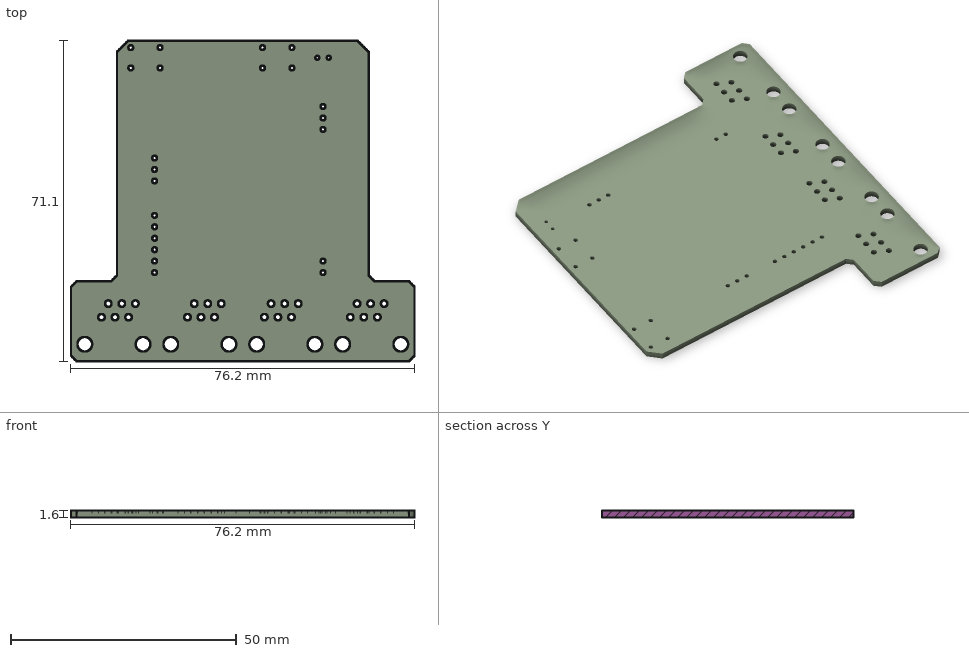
import cadquery as cq

BOARD_WIDTH = 76.2
BOARD_HEIGHT = 71.12
BOARD_THICKNESS = 1.6
BODY_WIDTH = 55.88
BASE_HEIGHT = 17.78
SMALL_CHAMFER = 1.27
TOP_CHAMFER = 2.54

PEG_DIAMETER = 3.2
JACK_PIN_DIAMETER = 1.4
PIN_DIAMETER = 1.02
LED_PIN_DIAMETER = 0.81

JACK_PITCH = 19.05
JACK_COUNT = 4
PEG_SPACING = 12.9
PEG_Y = 3.81
JACK_ROW_PINS = 3
JACK_PIN_PITCH = 3.0
JACK_ROW_STAGGER = JACK_PIN_PITCH / 2
JACK_ROW_SPACING = 3.0
PEG_TO_PIN_ROW = 6.0
JACK_LOWER_ROW_Y = PEG_Y + PEG_TO_PIN_ROW
JACK_UPPER_ROW_Y = JACK_LOWER_ROW_Y + JACK_ROW_SPACING
JACK_PIN_SHIFT = 1.0

HEADER_PITCH = 2.54
LEFT_HEADER_X = 18.542
RIGHT_HEADER_X = 55.88
LOWER_HEADER_Y = 19.685
LEFT_LOWER_PINS = 6
RIGHT_LOWER_PINS = 2
LEFT_UPPER_HEADER_Y = 40.005
RIGHT_UPPER_HEADER_Y = 51.435
UPPER_HEADER_PINS = 3

TOP_PARTS_Y = 67.31
BUTTON_CENTERS_X = (16.51, 45.72)
BUTTON_PIN_SPAN_X = 6.5
BUTTON_PIN_SPAN_Y = 4.5
LED_X = RIGHT_HEADER_X
LED_PIN_SPACING = HEADER_PITCH

CENTER_X = BOARD_WIDTH / 2


def board_outline():
    """Chamfered T outline: the right half and its mirror image."""
    edge = BOARD_WIDTH / 2
    body_edge = BODY_WIDTH / 2
    right_half = [
        (edge - SMALL_CHAMFER, 0),
        (edge, SMALL_CHAMFER),
        (edge, BASE_HEIGHT - SMALL_CHAMFER),
        (edge - SMALL_CHAMFER, BASE_HEIGHT),
        (body_edge + SMALL_CHAMFER, BASE_HEIGHT),
        (body_edge, BASE_HEIGHT + SMALL_CHAMFER),
        (body_edge, BOARD_HEIGHT - TOP_CHAMFER),
        (body_edge - TOP_CHAMFER, BOARD_HEIGHT),
    ]
    left_half = [(-x, y) for x, y in reversed(right_half)]
    return [(CENTER_X + x, y) for x, y in right_half + left_half]


def centered_row(center_x, y, count, pitch):
    """Points of a row along X, centred on center_x."""
    start_x = center_x - pitch * (count - 1) / 2
    return [(start_x + i * pitch, y) for i in range(count)]


def header_column(x, first_y, count):
    """Points of a pin header that runs along Y."""
    return [(x, first_y + i * HEADER_PITCH) for i in range(count)]


def jack_centers():
    """X positions midway between the two pegs of each jack."""
    return [x for x, _ in centered_row(CENTER_X, PEG_Y, JACK_COUNT, JACK_PITCH)]


def peg_points():
    """Two locating pegs per jack."""
    points = []
    for x in jack_centers():
        points += centered_row(x, PEG_Y, 2, PEG_SPACING)
    return points


def jack_pin_points():
    """Two staggered pin rows per jack, the upper row offset toward +X."""
    points = []
    for x in jack_centers():
        shift = JACK_PIN_SHIFT if x < CENTER_X else -JACK_PIN_SHIFT
        group_x = x + shift
        half_stagger = JACK_ROW_STAGGER / 2
        points += centered_row(group_x - half_stagger, JACK_LOWER_ROW_Y, JACK_ROW_PINS, JACK_PIN_PITCH)
        points += centered_row(group_x + half_stagger, JACK_UPPER_ROW_Y, JACK_ROW_PINS, JACK_PIN_PITCH)
    return points


def header_points():
    """Pin headers along the left and right sides of the body."""
    points = header_column(LEFT_HEADER_X, LOWER_HEADER_Y, LEFT_LOWER_PINS)
    points += header_column(LEFT_HEADER_X, LEFT_UPPER_HEADER_Y, UPPER_HEADER_PINS)
    points += header_column(RIGHT_HEADER_X, LOWER_HEADER_Y, RIGHT_LOWER_PINS)
    points += header_column(RIGHT_HEADER_X, RIGHT_UPPER_HEADER_Y, UPPER_HEADER_PINS)
    return points


def button_points():
    """Four pins per push button."""
    points = []
    for x in BUTTON_CENTERS_X:
        for y in (TOP_PARTS_Y - BUTTON_PIN_SPAN_Y / 2, TOP_PARTS_Y + BUTTON_PIN_SPAN_Y / 2):
            points += centered_row(x, y, 2, BUTTON_PIN_SPAN_X)
    return points


def led_points():
    """Two pins of the indicator LED."""
    return centered_row(LED_X, TOP_PARTS_Y, 2, LED_PIN_SPACING)


def drills(points, diameter):
    """Cylinders through the whole board thickness at the given points."""
    return cq.Workplane("XY").pushPoints(points).circle(diameter / 2).extrude(BOARD_THICKNESS)


board = cq.Workplane("XY").polyline(board_outline()).close().extrude(BOARD_THICKNESS)
board = board.cut(drills(peg_points(), PEG_DIAMETER))
board = board.cut(drills(jack_pin_points(), JACK_PIN_DIAMETER))
board = board.cut(drills(header_points() + button_points(), PIN_DIAMETER))
board = board.cut(drills(led_points(), LED_PIN_DIAMETER))

result = board